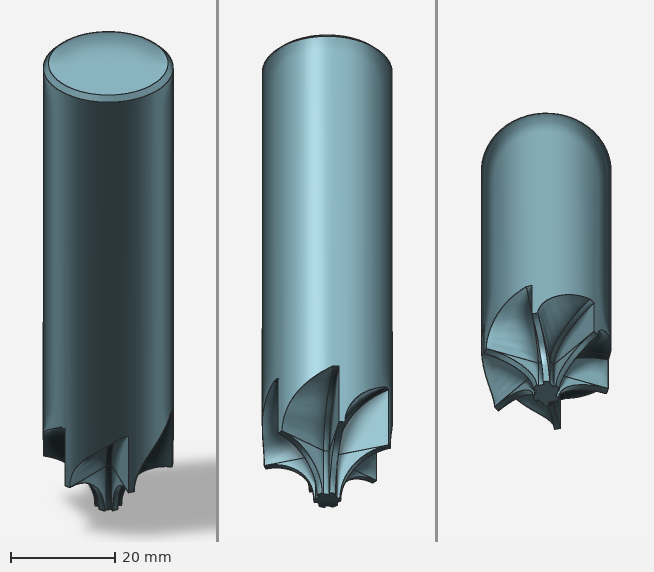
import cadquery as cq
import math

total_length = 100.0
shank_radius = 12.5
top_chamfer = 1.0

cutter_height = 10.0
tip_radius = 2.6
curve_radius = shank_radius - tip_radius
tip_land = cutter_height - curve_radius

flute_count = 6
flute_pitch = 360 / flute_count
root_radius = 2.0
root_width = 1.1
runout_radius = 13.0
wall_length = 15.0

runout_center = root_radius + runout_radius


def flute_section():
    """Section in XY: radial cutting face, flat root, back wall turned by one pitch."""
    wall_angle = math.radians(flute_pitch)
    wall_x = root_radius + wall_length * math.cos(wall_angle)
    wall_y = root_width + wall_length * math.sin(wall_angle)
    return (
        cq.Workplane("XY")
        .moveTo(root_radius, 0)
        .lineTo(root_radius, root_width)
        .lineTo(wall_x, wall_y)
        .lineTo(runout_center, wall_y)
        .lineTo(runout_center, 0)
        .close()
    )


def flute(index):
    """Straight flute through the cutter, turning outwards about a tangential axis in the shank."""
    straight = flute_section().extrude(cutter_height)
    runout = (
        flute_section()
        .revolve(90, (runout_center, 0, 0), (runout_center, 1, 0))
        .translate((0, 0, cutter_height))
    )
    one_flute = straight.union(runout).mirror("XZ")
    return one_flute.rotate((0, 0, 0), (0, 0, 1), index * flute_pitch)


def cut_flutes(body):
    for index in range(flute_count):
        body = body.cut(flute(index))
    return body


def make_shank():
    blank = (
        cq.Workplane("XY")
        .workplane(offset=cutter_height)
        .circle(shank_radius)
        .extrude(total_length - cutter_height)
        .faces(">Z")
        .chamfer(top_chamfer)
    )
    return cut_flutes(blank)


def make_cutter():
    arc_offset = curve_radius * math.sqrt(0.5)
    blank = (
        cq.Workplane("XZ")
        .lineTo(tip_radius, 0)
        .lineTo(tip_radius, tip_land)
        .threePointArc(
            (shank_radius - arc_offset, tip_land + arc_offset),
            (shank_radius, cutter_height),
        )
        .lineTo(0, cutter_height)
        .close()
        .revolve(360, (0, 0, 0), (0, 1, 0))
    )
    return cut_flutes(blank)


shank = make_shank()
cutter = make_cutter()

result = cq.Compound.makeCompound([shank.val(), cutter.val()])